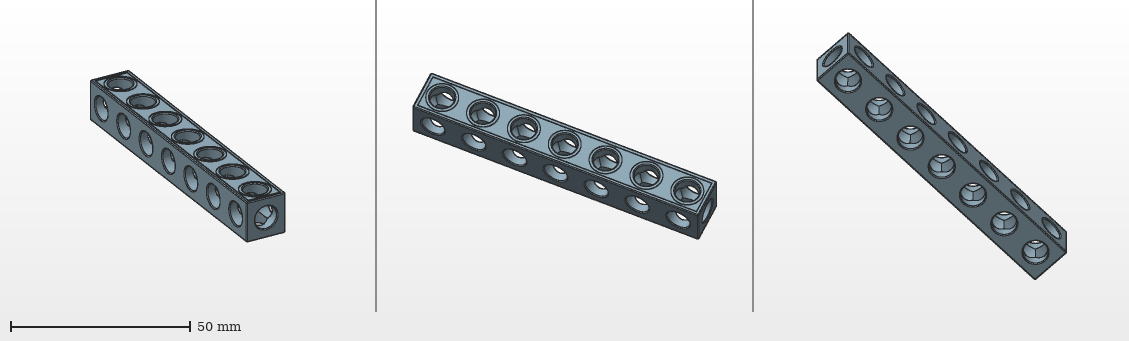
import cadquery as cq

length = 87.5
hole_count = 7
pitch = length / hole_count
width = pitch
edge_chamfer = 0.3

hole_diameter = 7.0
hole_chamfer = 0.3

recess_width = 10.3
recess_length = length - (width - recess_width)
recess_depth = 0.2
ring_diameter = 9.2

hole_positions = [(i - (hole_count - 1) / 2) * pitch for i in range(hole_count)]


def beam():
    """Solid bar, centred on the origin, with every edge chamfered."""
    return cq.Workplane("XY").box(length, width, width).edges().chamfer(edge_chamfer)


def top_recess():
    """Rectangular pocket volume that leaves the rings standing."""
    floor = cq.Workplane("XY", origin=(0, 0, width / 2 - recess_depth))
    pocket = floor.rect(recess_length, recess_width).extrude(recess_depth)
    ring_centers = [(x, 0) for x in hole_positions]
    rings = floor.pushPoints(ring_centers).circle(ring_diameter / 2).extrude(recess_depth)
    return pocket.cut(rings)


def flared_hole(depth):
    """Cutter along Z, centred on the origin and flared at both ends."""
    radius = hole_diameter / 2
    flared_radius = radius + hole_chamfer
    end = depth / 2
    profile = [
        (0, -end),
        (flared_radius, -end),
        (radius, -end + hole_chamfer),
        (radius, end - hole_chamfer),
        (flared_radius, end),
        (0, end),
    ]
    return cq.Workplane("XZ").polyline(profile).close().revolve(360, (0, 0), (0, 1))


vertical_hole = flared_hole(width)
cross_hole = vertical_hole.rotate((0, 0, 0), (1, 0, 0), 90)
lengthwise_hole = flared_hole(length).rotate((0, 0, 0), (0, 1, 0), 90)

result = beam().cut(top_recess()).cut(lengthwise_hole)
for x in hole_positions:
    result = result.cut(vertical_hole.translate((x, 0, 0)))
    result = result.cut(cross_hole.translate((x, 0, 0)))